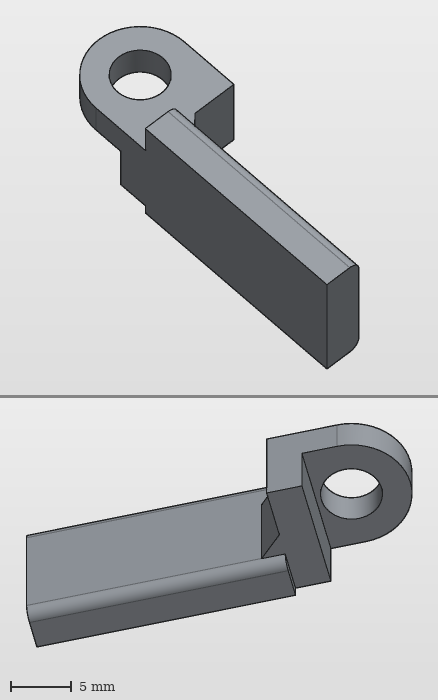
import cadquery as cq

length = 33.0
width = 10.0
height = 11.6

plate_start = 11.0
plate_thickness = 3.6
plate_edge_radius = 1.02

eye_radius = width / 2
eye_hole_diameter = 5.1
eye_bottom = 5.58
eye_top = 8.6

foot_start = 8.0
foot_bottom = 1.0

gusset_leg = 2.0


def make_plate():
    """Long upright plate with its two inner long edges rounded."""
    plate = cq.Workplane("XY").box(
        length - plate_start, plate_thickness, height, centered=False
    )
    plate = plate.faces(">Y").edges("|X").fillet(plate_edge_radius)
    return plate.translate((plate_start, 0, 0))


def make_eye():
    """Flat lug with a half-round free end."""
    return (
        cq.Workplane("XY", origin=(0, 0, eye_bottom))
        .moveTo(plate_start, 0)
        .lineTo(eye_radius, 0)
        .threePointArc((0, eye_radius), (eye_radius, width))
        .lineTo(plate_start, width)
        .close()
        .extrude(eye_top - eye_bottom)
    )


def make_foot():
    """Full-width block that supports the eye at the end of the plate."""
    return cq.Workplane("XY", origin=(foot_start, 0, foot_bottom)).box(
        plate_start - foot_start, width, eye_top - foot_bottom, centered=False
    )


def make_gusset():
    """Triangular web in the corner between the foot and the plate."""
    return (
        cq.Workplane("XY", origin=(plate_start, 0, foot_bottom))
        .lineTo(gusset_leg, 0)
        .lineTo(gusset_leg, plate_thickness)
        .lineTo(0, plate_thickness + gusset_leg)
        .close()
        .extrude(eye_top - foot_bottom)
    )


def make_eye_hole():
    """Round cutter through the eye, concentric with its end."""
    return (
        cq.Workplane("XY", origin=(eye_radius, eye_radius, eye_bottom))
        .circle(eye_hole_diameter / 2)
        .extrude(eye_top - eye_bottom)
    )


body = make_plate().union(make_eye()).union(make_foot()).union(make_gusset())
result = body.cut(make_eye_hole())